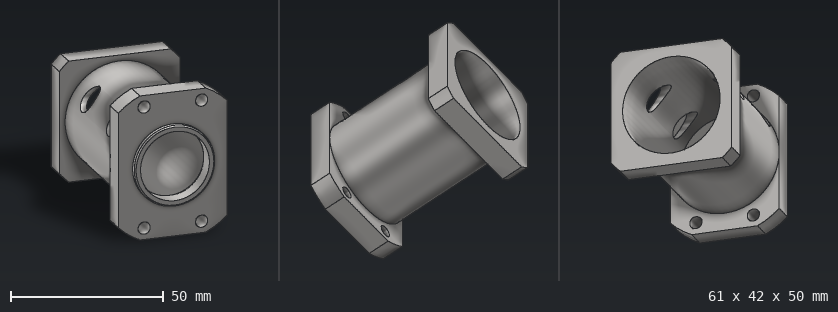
import cadquery as cq

length = 61.0
flange_thickness = 8.0
spigot_length = 2.0
body_end = length - spigot_length
rear_flange_start = body_end - flange_thickness

flange_circle = 55.0
front_flange_side = 42.0
rear_flange_height = 50.0

body_diameter = 38.0
spigot_diameter = 28.0
spigot_chamfer = 0.5
main_bore = 34.0
end_bore = 24.0
end_bore_chamfer = 0.5
end_wall = 6.0
main_bore_depth = length - end_wall

cross_hole = 8.0
cross_hole_positions = (20.0, 45.0)
cross_hole_height = 11.3
mount_hole = 4.2
mount_hole_y = 10.0
mount_hole_z = 21.0


def cylinder(diameter, start, depth):
    """Cylinder on the X axis."""
    return cq.Workplane("YZ", origin=(start, 0, 0)).circle(diameter / 2).extrude(depth)


def flange(start, width, height):
    """Plate whose corners follow the flange circle."""
    plate = cq.Workplane("YZ", origin=(start, 0, 0)).rect(width, height).extrude(flange_thickness)
    return plate.intersect(cylinder(flange_circle, start, flange_thickness))


spigot = cylinder(spigot_diameter, rear_flange_start, length - rear_flange_start)
spigot = spigot.faces(">X").chamfer(spigot_chamfer)
result = (
    cylinder(body_diameter, 0, body_end)
    .union(flange(0, front_flange_side, front_flange_side))
    .union(flange(rear_flange_start, body_diameter, rear_flange_height))
    .union(spigot)
)

result = result.cut(cylinder(main_bore, 0, main_bore_depth))
result = result.cut(cylinder(end_bore, main_bore_depth, end_wall))
inner_chamfer = (
    cq.Workplane("YZ", origin=(main_bore_depth, 0, 0))
    .circle(end_bore / 2 + end_bore_chamfer)
    .workplane(offset=end_bore_chamfer)
    .circle(end_bore / 2)
    .loft()
)
result = result.cut(inner_chamfer)

for x in cross_hole_positions:
    cutter = cq.Workplane("XZ", origin=(x, 0, cross_hole_height)).circle(cross_hole / 2)
    result = result.cut(cutter.extrude(body_diameter, both=True))

mount_holes = (
    cq.Workplane("YZ", origin=(rear_flange_start, 0, 0))
    .rect(2 * mount_hole_y, 2 * mount_hole_z, forConstruction=True)
    .vertices()
    .circle(mount_hole / 2)
    .extrude(flange_thickness)
)
result = result.cut(mount_holes)